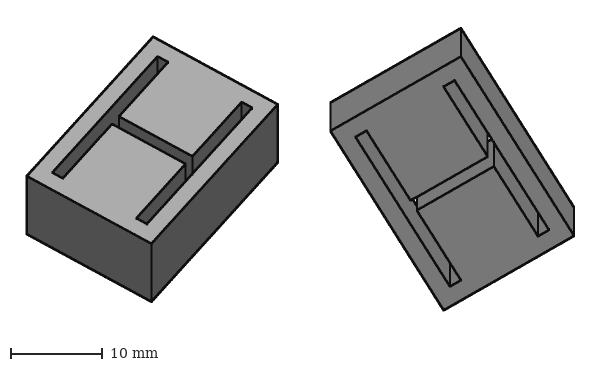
import cadquery as cq

block_width = 16.6
block_length = 24.0
block_height = 10.0

wall = 2.0
slot_width = 1.4
cross_slot_width = 1.3

slot_span_x = block_width - 2 * wall
slot_length = block_length - 2 * wall
long_slot_offset = (slot_span_x - slot_width) / 2


def make_block():
    """Solid block, centred in X and Y, standing on Z = 0."""
    return cq.Workplane("XY").box(
        block_width, block_length, block_height, centered=(True, True, False)
    )


def cut_h_slot(body):
    """Cut two long slots along Y and the slot along X that joins them."""
    body = (
        body.faces(">Z")
        .workplane(origin=(0, 0, block_height))
        .pushPoints([(-long_slot_offset, 0), (long_slot_offset, 0)])
        .rect(slot_width, slot_length)
        .cutThruAll()
    )
    return (
        body.faces(">Z")
        .workplane(origin=(0, 0, block_height))
        .rect(slot_span_x, cross_slot_width)
        .cutThruAll()
    )


result = cut_h_slot(make_block())